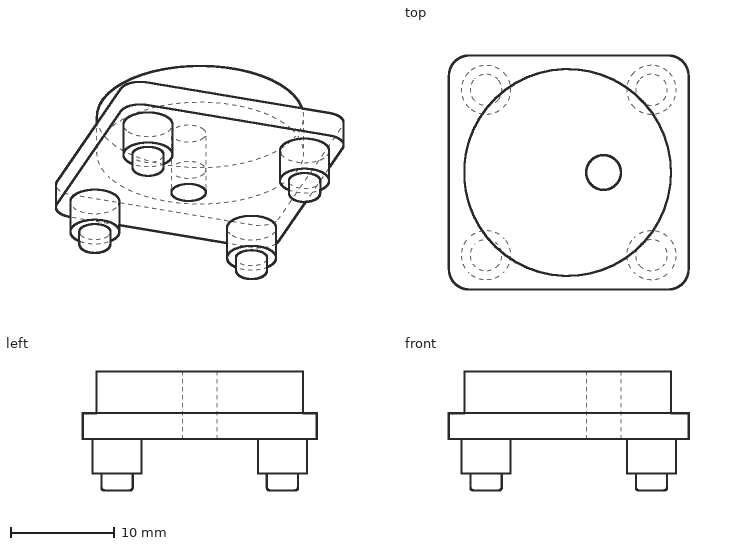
import cadquery as cq

plate_length = 23.2
plate_width = 22.65
plate_thickness = 2.5
corner_radius = 2.0

leg_spacing = 15.98
post_diameter = 4.75
post_height = 3.35
pin_diameter = 3.05
pin_height = 1.62
pin_tip_fillet = 0.3

disc_diameter = 20.0
disc_height = 4.04
disc_offset_x = -0.12

hole_diameter = 3.35
hole_offset_x = 3.48
hole_x = disc_offset_x + hole_offset_x


def make_leg(x, y):
    """Return a post with a narrower, round-edged pin at its lower end."""
    post = cq.Workplane("XY").center(x, y).circle(post_diameter / 2).extrude(-post_height)
    pin = (
        cq.Workplane("XY", origin=(x, y, -post_height))
        .circle(pin_diameter / 2)
        .extrude(-pin_height)
        .faces("<Z")
        .edges()
        .fillet(pin_tip_fillet)
    )
    return post.union(pin)


def make_base():
    """Return the rounded plate with its through hole and four legs."""
    base = (
        cq.Workplane("XY")
        .rect(plate_length, plate_width)
        .extrude(plate_thickness)
        .edges("|Z")
        .fillet(corner_radius)
    )
    hole = cq.Workplane("XY").center(hole_x, 0).circle(hole_diameter / 2).extrude(plate_thickness)
    base = base.cut(hole)
    for side_x in (-1, 1):
        for side_y in (-1, 1):
            base = base.union(make_leg(side_x * leg_spacing / 2, side_y * leg_spacing / 2))
    return base


def make_disc():
    """Return the disc with its off-centre through hole."""
    return (
        cq.Workplane("XY", origin=(disc_offset_x, 0, plate_thickness))
        .circle(disc_diameter / 2)
        .extrude(disc_height)
        .faces(">Z")
        .workplane(origin=(hole_x, 0, plate_thickness + disc_height))
        .hole(hole_diameter)
    )


base = make_base()
disc = make_disc()

result = cq.Compound.makeCompound([base.val(), disc.val()])